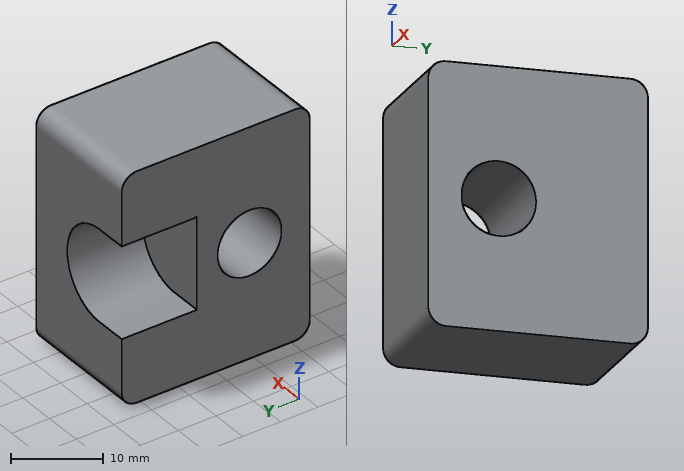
import cadquery as cq

width = 16.0
depth = 25.0
height = 30.0
edge_radius = 2.0

hole_diameter = 8.5
hole_center_from_front = 8.0

channel_height = 12.0
channel_length = 10.0
channel_straight = 4.17


def make_block():
    return cq.Workplane("XY").box(width, depth, height).edges("|X").fillet(edge_radius)


def make_hole():
    hole_y = hole_center_from_front - depth / 2
    return (
        cq.Workplane("YZ", origin=(-width / 2, hole_y, 0))
        .circle(hole_diameter / 2)
        .extrude(width)
    )


def make_channel():
    radius = channel_height / 2
    mouth_x = -width / 2
    round_x = mouth_x + channel_straight
    return (
        cq.Workplane("XZ", origin=(0, depth / 2, 0))
        .moveTo(mouth_x, -radius)
        .lineTo(round_x, -radius)
        .threePointArc((round_x + radius, 0), (round_x, radius))
        .lineTo(mouth_x, radius)
        .close()
        .extrude(channel_length)
    )


result = make_block().cut(make_hole()).cut(make_channel())